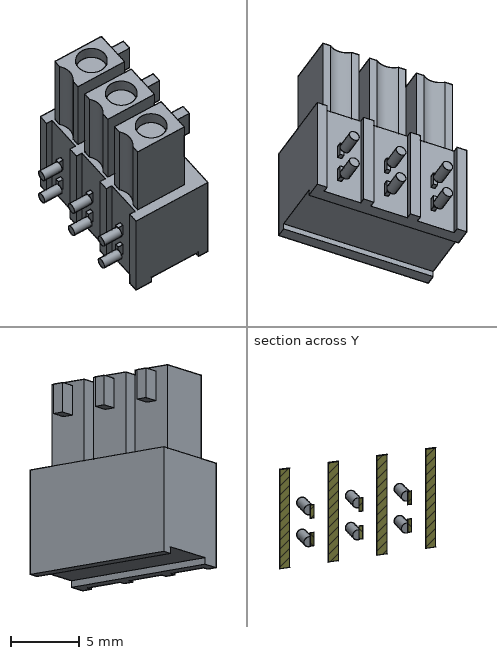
import cadquery as cq


position_count = 3
pitch = 3.81
position_xs = [(i - (position_count - 1) / 2) * pitch for i in range(position_count)]

block_width = 12.22
block_depth = 6.45
block_height = 7.89
total_height = 14.5
front_y = -block_depth

recess_width = 2.99
recess_depth = 0.5
recess_y = front_y + recess_depth

channel_height = 0.5
back_foot_depth = 0.84
front_foot_depth = 1.39
channel_depth = block_depth - back_foot_depth - front_foot_depth

tower_width = 2.96
tower_depth = 4.18
tower_height = total_height - block_height
tower_back_y = -1.55
tower_front_y = tower_back_y - tower_depth

opening_diameter = 2.32
opening_depth = 1.02
opening_y = -3.48

flute_width = 1.74
flute_depth = 0.32

tab_width = 0.81
tab_length = 1.22
tab_height = 2.23
tab_top_z = total_height - 0.33

pin_diameter = 0.8
pin_radius = pin_diameter / 2
pin_overhang = 1.5
pin_tip_y = front_y - pin_overhang
lower_pin_z = 1.84
pin_spacing = 2.54
upper_pin_z = lower_pin_z + pin_spacing
blade_thickness = 0.32
blade_height = 1.07
blade_length = 0.42
blade_end_clearance = 0.03
shank_start_y = recess_y - blade_length


def box(x_center, y_max, z_min, width, depth, height):
    """Box centred on x_center, reaching forward from y_max and up from z_min."""
    return (
        cq.Workplane("XY")
        .box(width, depth, height, centered=(True, False, False))
        .translate((x_center, y_max - depth, z_min))
    )


def make_tower(x_center):
    """Plug tower with its coding tab, fluted front and blind contact opening."""
    left = x_center - tower_width / 2
    right = x_center + tower_width / 2
    tower = (
        cq.Workplane("XY", origin=(0, 0, block_height))
        .moveTo(left, tower_back_y)
        .lineTo(left, tower_front_y)
        .lineTo(x_center - flute_width / 2, tower_front_y)
        .threePointArc(
            (x_center, tower_front_y + flute_depth),
            (x_center + flute_width / 2, tower_front_y),
        )
        .lineTo(right, tower_front_y)
        .lineTo(right, tower_back_y)
        .close()
        .extrude(tower_height)
    )
    tab = box(
        x_center, tower_back_y + tab_length, tab_top_z - tab_height,
        tab_width, tab_length, tab_height,
    )
    opening = (
        cq.Workplane("XY", origin=(x_center, opening_y, total_height))
        .circle(opening_diameter / 2)
        .extrude(-opening_depth)
    )
    return tower.union(tab).cut(opening)


def make_housing():
    """Block with front recesses and an underside channel, carrying the plug towers."""
    housing = box(0, 0, 0, block_width, block_depth, block_height)
    housing = housing.cut(box(0, -back_foot_depth, 0, block_width, channel_depth, channel_height))
    for x in position_xs:
        housing = housing.cut(box(x, recess_y, 0, recess_width, recess_depth, block_height))
        housing = housing.union(make_tower(x))
    return housing


def make_pin(x_center, z_center, blade_min_z):
    """Solder pin standing on the recess face, its blade flush with the shank's -X side."""
    blade_x = x_center - pin_radius + blade_thickness / 2
    blade = box(blade_x, recess_y, blade_min_z, blade_thickness, blade_length, blade_height)
    shank = (
        cq.Workplane("XZ", origin=(x_center, shank_start_y, z_center))
        .circle(pin_radius)
        .extrude(shank_start_y - pin_tip_y)
    )
    return blade.union(shank)


housing = make_housing()

lower_blade_min_z = lower_pin_z - pin_radius + blade_end_clearance
upper_blade_min_z = upper_pin_z + pin_radius - blade_end_clearance - blade_height
pins = []
for x in position_xs:
    pins.append(make_pin(x, lower_pin_z, lower_blade_min_z))
    pins.append(make_pin(x, upper_pin_z, upper_blade_min_z))

result = cq.Compound.makeCompound([housing.solids().val(), *[pin.solids().val() for pin in pins]])